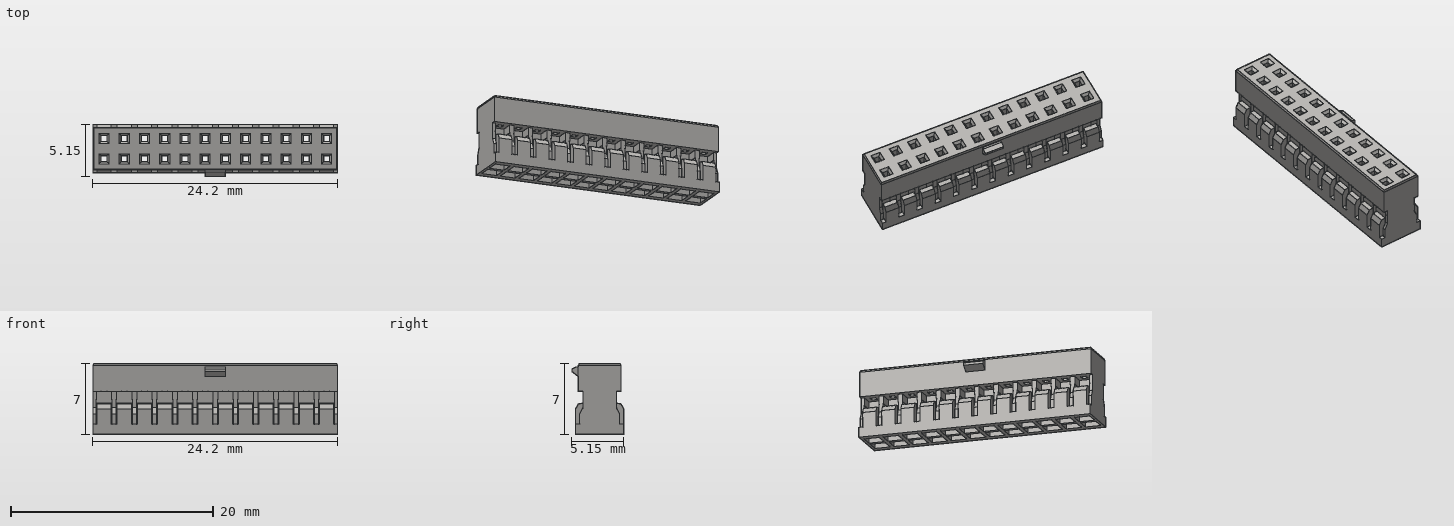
import cadquery as cq

length = 24.2
height = 7.0
base_half_depth = 2.4
head_half_depth = 4.24 / 2

columns = 12
end_allowance = 0.1
pitch = (length - 2 * end_allowance) / columns
row_offset = pitch / 2
rows = (-1, 1)

waist_half_depth = 1.67
head_bottom = 4.25
chamfer_depth = 0.1
chamfer_height = 0.2

slot_floor = 1.02
slot_width = 0.6
rib_half_depth = 1.98
rib_ramp_bottom = 2.0
rib_ramp_top = 2.64
finger_shoulder_z = 2.52
finger_bevel_half_depth = 2.1
finger_bevel_z = 3.02
finger_tip_z = 3.1

wall = 0.4
cavity_width = pitch - wall
cavity_narrowing_z = 3.45
window_wall = 0.48
window_width = pitch - window_wall

entry_width = 1.0
pin_width = 0.55
entry_depth = 0.3

key_width = 2.0
key_ridge = -2.32
key_front = -2.75
key_bottom = 5.7
key_nose_bottom = 6.22
key_nose_top = 6.45
key_top = 6.68

first_column_x = -(columns - 1) * pitch / 2
column_centres = [first_column_x + i * pitch for i in range(columns)]
slot_centres = [first_column_x + (i - 0.5) * pitch for i in range(columns + 1)]


def box(width, depth, bottom, top, x=0.0, y=0.0):
    """Box centred on (x, y) between two heights."""
    block = cq.Workplane("XY").box(width, depth, top - bottom, centered=(True, True, False))
    return block.translate((x, y, bottom))


def extrude_x(points, width):
    """Prism along X, centred on X = 0, from (y, z) points."""
    return cq.Workplane("YZ").polyline(points).close().extrude(width / 2, both=True)


def mirrored(half_outline):
    """Close a (y, z) outline by mirroring it about Y = 0."""
    return half_outline + [(-y, z) for y, z in reversed(half_outline)]


def make_head():
    """Upper block with chamfered top edges."""
    block = box(length, 2 * head_half_depth, head_bottom, height - chamfer_height)
    roof = (
        cq.Workplane("XY", origin=(0, 0, height - chamfer_height))
        .rect(length, 2 * head_half_depth)
        .workplane(offset=chamfer_height)
        .rect(length - 2 * chamfer_depth, 2 * (head_half_depth - chamfer_depth))
        .loft(ruled=True)
    )
    return block.union(roof)


def make_finger_rows():
    """Base and waist with a slotted row of fingers along both long sides."""
    outline = mirrored([
        (base_half_depth, 0),
        (base_half_depth, finger_shoulder_z),
        (finger_bevel_half_depth, finger_bevel_z),
        (waist_half_depth, finger_tip_z),
        (waist_half_depth, head_bottom),
    ])
    fingers = extrude_x(outline, length)
    slot_depth = base_half_depth - waist_half_depth
    for row in rows:
        slot_y = row * (base_half_depth + waist_half_depth) / 2
        for x in slot_centres:
            fingers = fingers.cut(box(slot_width, slot_depth, slot_floor, finger_tip_z, x, slot_y))
    return fingers


def make_ribs():
    """Ribs standing in the finger slots; the end ones are trimmed flush with the housing."""
    outline = mirrored([
        (rib_half_depth, slot_floor),
        (rib_half_depth, rib_ramp_bottom),
        (waist_half_depth, rib_ramp_top),
    ])
    rib = extrude_x(outline, wall)
    ribs = box(length, 2 * waist_half_depth, slot_floor, rib_ramp_top)
    for x in slot_centres:
        ribs = ribs.union(rib.translate((x, 0, 0)))
    return ribs.intersect(box(length, 2 * base_half_depth, 0, height))


def make_cavity():
    """Contact cavity about the Z axis, opening outwards (+Y) above the finger."""
    inner = wall / 2 - row_offset
    outer = waist_half_depth - row_offset
    depth = outer - inner
    middle = (outer + inner) / 2
    lower = box(cavity_width, depth, 0, cavity_narrowing_z, y=middle)
    upper = box(window_width, depth, 0, head_bottom, y=middle)
    return lower.union(upper)


def make_pin_entry():
    """Square through hole about the Z axis with a funnelled mouth."""
    funnel = (
        cq.Workplane("XY", origin=(0, 0, height - entry_depth))
        .rect(pin_width, pin_width)
        .workplane(offset=entry_depth)
        .rect(entry_width, entry_width)
        .loft(ruled=True)
    )
    return funnel.union(box(pin_width, pin_width, 0, height))


def make_key():
    """Small polarising nose near the top of the front side."""
    outline = [
        (-head_half_depth, key_bottom),
        (key_front, key_nose_bottom),
        (key_front, key_nose_top),
        (key_ridge, key_top),
        (-head_half_depth, key_top),
    ]
    return extrude_x(outline, key_width)


result = make_finger_rows().union(make_ribs()).union(make_head()).union(make_key())

contact = make_cavity().union(make_pin_entry())
for row in rows:
    facing = contact if row > 0 else contact.rotate((0, 0, 0), (0, 0, 1), 180)
    for x in column_centres:
        result = result.cut(facing.translate((x, row * row_offset, 0)))